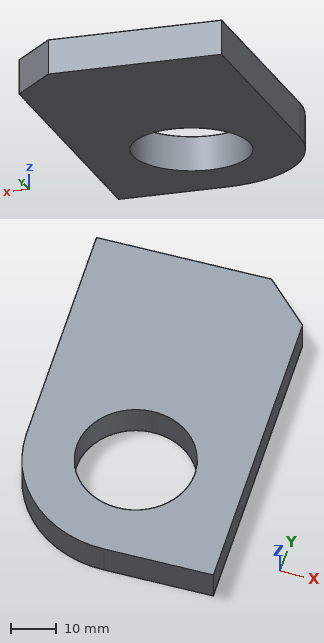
import cadquery as cq

plate_width = 50.0
plate_length = 80.0
plate_thickness = 8.0
corner_radius = plate_width / 2
corner_chamfer = 10.0
hole_diameter = 27.0


def make_plate():
    """Flat plate with its lower-left corner at the origin."""
    return cq.Workplane("XY").box(plate_width, plate_length, plate_thickness, centered=False)


def round_corner(plate):
    """Round the vertical edge at the -X, -Y corner."""
    return plate.edges("|Z").edges("<X").edges("<Y").fillet(corner_radius)


def chamfer_corner(plate):
    """Bevel the vertical edge at the +X, +Y corner."""
    return plate.edges("|Z").edges(">X").edges(">Y").chamfer(corner_chamfer)


def cut_hole(plate):
    """Through hole concentric with the rounded corner."""
    bore = (
        cq.Workplane("XY")
        .center(corner_radius, corner_radius)
        .circle(hole_diameter / 2)
        .extrude(plate_thickness)
    )
    return plate.cut(bore)


result = cut_hole(chamfer_corner(round_corner(make_plate())))